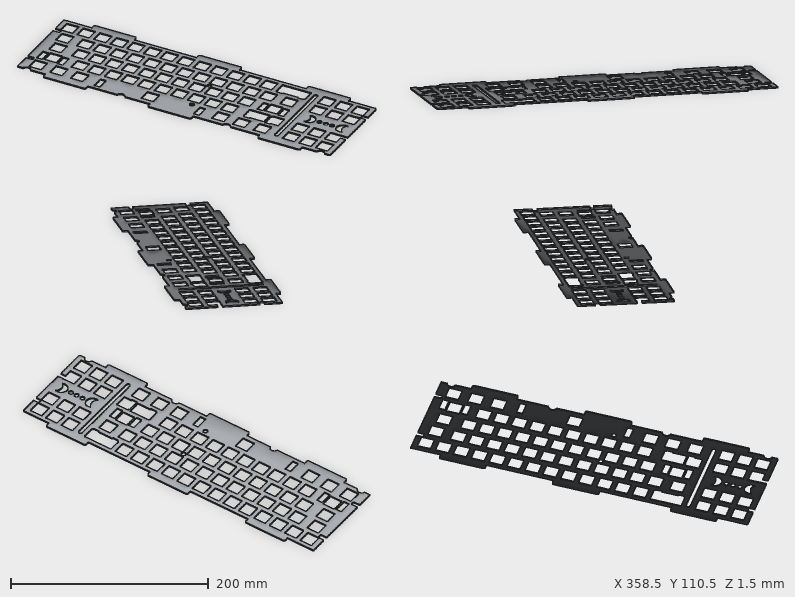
import cadquery as cq

length = 358.5
width = 110.5
thickness = 1.5

tab_depth = 5.5
outer_tab_length = 48.8
middle_tab_length = 49.5
tab_radius = 1.8
outer_tab_x = 123.0
middle_tab_x = -2.5
body_width = width - 2 * tab_depth
corner_radius = 1.5

sixteen_key_span = 304.8
pitch = sixteen_key_span / 16
first_key_x = -166.7
middle_row = 2
middle_row_y = 0.5
switch_size = 14.0
opening_radius = 0.5
numpad_columns = [15.5, 16.5, 17.5]

stabilizer_width = 6.5
stabilizer_height = 14.0
stabilizer_drop = 1.0
wide_key_spread = 12.0
space_bar_spread = 57.0

key_rows = [
    list(range(13)) + [13, 13.5, 14] + numpad_columns,
    [0.25] + [1.5 + i for i in range(12)] + [13.75] + numpad_columns,
    [0.375] + [1.75 + i for i in range(11)] + [13.375],
    [0.625] + [2.25 + i for i in range(10)] + [12.625, 13.125, 14] + numpad_columns,
    [0.25, 1.5, 2.75, 7, 11.25, 12.5, 13.75] + numpad_columns,
]

stabilized_keys = [
    (0, 13.5, wide_key_spread),
    (2, 13.375, wide_key_spread),
    (3, 0.625, wide_key_spread),
    (3, 13.125, wide_key_spread),
    (4, 7, space_bar_spread),
]

side_notches = [
    (-1, 29.0, 7.0),
    (1, 29.0, 6.0),
    (1, -14.5, 6.5),
]
side_notch_width = 5.0
side_notch_radius = 1.0

round_notch_y = -29.8
round_notch_depth = 8.0
round_notch_width = 4.3

bottom_notch_diameter = 9.0
bottom_notch_offset = 1.0
bottom_notch_distances = [60.5, 168.5]

divider_x = 113.5
divider_length = 88.2
divider_width = 4.3

hole_diameter = 5.0
mounting_holes = [(9.7, 9.0), (10.8, -31.2)]
indicator_x = 147.7
indicator_spacing = 7.0
crescent_distance = 19.0
crescent_radius = 6.8
crescent_bite_distance = 26.5
crescent_bite_radius = 8.0


def key_x(units):
    return first_key_x + units * pitch


def row_y(row):
    return middle_row_y + (middle_row - row) * pitch


def block(x, y, size_x, size_y):
    return cq.Workplane("XY").center(x, y).rect(size_x, size_y).extrude(thickness)


def opening(x, y, size_x, size_y):
    return block(x, y, size_x, size_y).edges("|Z").fillet(opening_radius)


def disc(x, y, diameter):
    return cq.Workplane("XY").center(x, y).circle(diameter / 2).extrude(thickness)


def rounded_slot(x, y, slot_length, slot_width, angle):
    return cq.Workplane("XY").center(x, y).slot2D(slot_length, slot_width, angle).extrude(thickness)


def make_plate():
    plate = block(0, 0, length, body_width).edges("|Z and >X").fillet(corner_radius)
    tabs = [
        (-outer_tab_x, outer_tab_length),
        (middle_tab_x, middle_tab_length),
        (outer_tab_x, outer_tab_length),
    ]
    for x, tab_length in tabs:
        plate = plate.union(block(x, 0, tab_length, width).edges("|Z").fillet(tab_radius))
    return plate


def make_side_notch(side, y, depth):
    """Notch with rounded corners, open at the left (side = -1) or right (side = 1) edge."""
    notch = block(side * length / 2, y, 2 * depth, side_notch_width)
    return notch.edges("|Z").fillet(side_notch_radius)


def make_crescent(side):
    """Crescent bulging towards the indicator holes from the given side."""
    body = disc(indicator_x + side * crescent_distance, middle_row_y, 2 * crescent_radius)
    bite = disc(indicator_x + side * crescent_bite_distance, middle_row_y, 2 * crescent_bite_radius)
    return body.cut(bite)


def make_switch_openings():
    openings = []
    for row, columns in enumerate(key_rows):
        for units in columns:
            openings.append(opening(key_x(units), row_y(row), switch_size, switch_size))
    return openings


def make_stabilizer_slots():
    slots = []
    for row, units, spread in stabilized_keys:
        slot_y = row_y(row) - stabilizer_drop
        for side in (-1, 1):
            slot_x = key_x(units) + side * spread
            slots.append(opening(slot_x, slot_y, stabilizer_width, stabilizer_height))
    return slots


def make_edge_notches():
    notches = [make_side_notch(side, y, depth) for side, y, depth in side_notches]
    notches.append(rounded_slot(-length / 2, round_notch_y, 2 * round_notch_depth, round_notch_width, 0))
    for distance in bottom_notch_distances:
        for side in (-1, 1):
            notch_y = -body_width / 2 - bottom_notch_offset
            notches.append(disc(side * distance, notch_y, bottom_notch_diameter))
    return notches


def make_round_holes():
    holes = [disc(x, y, hole_diameter) for x, y in mounting_holes]
    for step in (-1, 0, 1):
        holes.append(disc(indicator_x + step * indicator_spacing, middle_row_y, hole_diameter))
    return holes


cutters = make_switch_openings() + make_stabilizer_slots() + make_edge_notches() + make_round_holes()
cutters.append(rounded_slot(divider_x, middle_row_y, divider_length, divider_width, 90))
cutters += [make_crescent(side) for side in (-1, 1)]

solid = make_plate().val().cut(*[cutter.val() for cutter in cutters])
result = cq.Workplane("XY").newObject(solid.Solids())